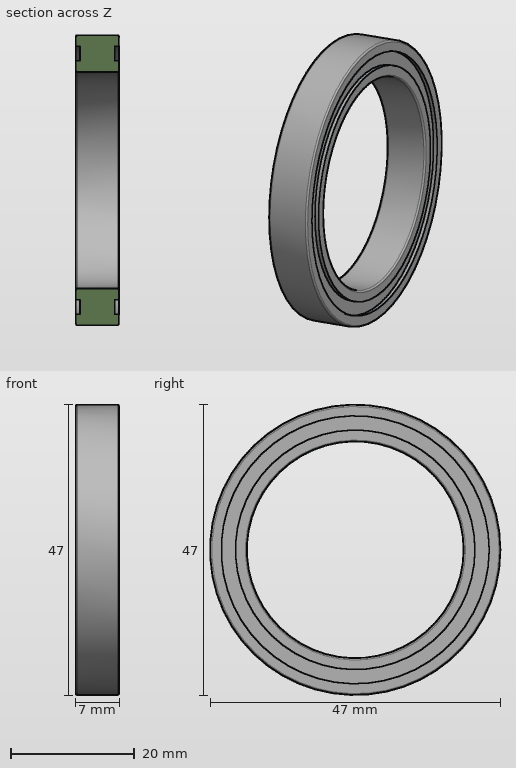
import cadquery as cq

outer_diameter = 47.0
bore_diameter = 35.0
width = 7.0
edge_radius = 0.3

recess_outer_diameter = 43.35
recess_inner_diameter = 38.75
recess_depth = 0.65


def ring(outer, inner, length, start_x):
    """Plain ring along +X, starting at start_x."""
    return (
        cq.Workplane("YZ", origin=(start_x, 0, 0))
        .circle(outer / 2)
        .circle(inner / 2)
        .extrude(length)
    )


body = ring(outer_diameter, bore_diameter, width, -width / 2)
body = body.faces("<X or >X").edges().fillet(edge_radius)

for start_x in (-width / 2, width / 2 - recess_depth):
    body = body.cut(ring(recess_outer_diameter, recess_inner_diameter, recess_depth, start_x))

result = body